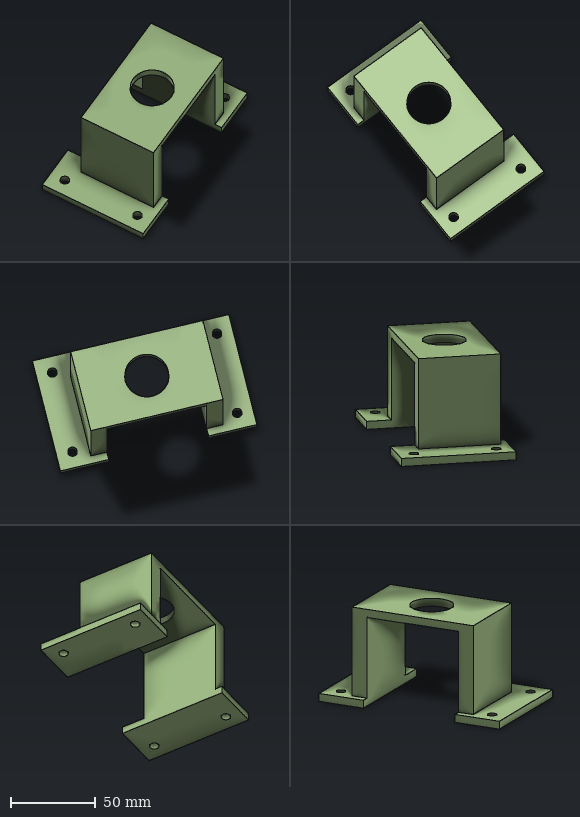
import cadquery as cq

foot_width = 69.5
total_length = 119.5
total_height = 60.0

bridge_width = 50.0
wall_thickness = 9.9
wall_gap = 60.5
bridge_length = wall_gap + 2 * wall_thickness
plate_thickness = 5.0
bridge_setback = 14.9

top_hole_diameter = 25.9
screw_hole_diameter = 5.5
screw_spacing_x = 50.0
screw_spacing_y = 100.0

foot_length = (total_length - wall_gap) / 2
foot_center_y = (wall_gap + foot_length) / 2
bridge_center_x = -foot_width / 2 + bridge_setback + bridge_width / 2

feet = (
    cq.Workplane("XY")
    .pushPoints([(0, -foot_center_y), (0, foot_center_y)])
    .rect(foot_width, foot_length)
    .extrude(plate_thickness)
)
screw_holes = (
    cq.Workplane("XY")
    .rect(screw_spacing_x, screw_spacing_y, forConstruction=True)
    .vertices()
    .circle(screw_hole_diameter / 2)
    .extrude(plate_thickness)
)

bridge = (
    cq.Workplane("XY")
    .center(bridge_center_x, 0)
    .rect(bridge_width, bridge_length)
    .extrude(total_height)
)
opening = (
    cq.Workplane("XY")
    .center(bridge_center_x, 0)
    .rect(bridge_width, wall_gap)
    .extrude(total_height - plate_thickness)
)

top_hole = (
    cq.Workplane("XY")
    .center(bridge_center_x, 0)
    .circle(top_hole_diameter / 2)
    .extrude(total_height)
)

result = bridge.cut(opening).cut(top_hole).union(feet).cut(screw_holes)